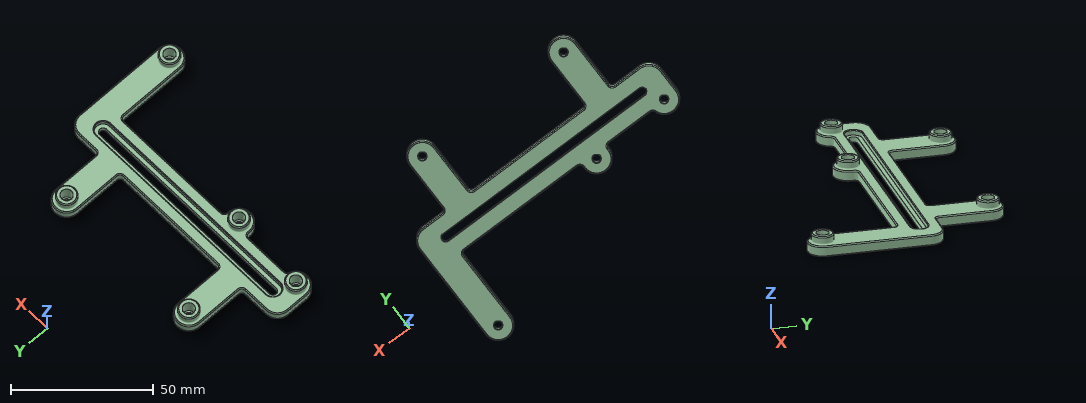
import cadquery as cq
import math

length = 106.7
plate_thickness = 4.1
plate_edge_chamfer = 0.4
arm_width = 11.0
arm_radius = arm_width / 2
inner_corner_radius = 1.5

bar_bottom = 34.4
bar_width = 15.0
bar_top = bar_bottom + bar_width
bar_middle = bar_bottom + bar_width / 2

slot_length = 89.9
slot_width = 3.2
groove_width = 6.4
groove_length = slot_length - slot_width + groove_width
groove_depth = 2.0
groove_edge_chamfer = 0.3

total_height = 7.0
boss_diameter = 8.0
boss_top_chamfer = 0.4
boss_foot_fillet = 0.4
screw_hole_diameter = 3.2
bore_diameter = 4.6
bore_depth = 6.0

upper_arms = [(23.4, 69.9), (85.6, 70.1)]
lower_arms = [
    (arm_radius, 35.0),
    (37.3, 32.3),
    (length - arm_radius, arm_radius),
]
boss_centers = upper_arms + lower_arms


def make_arm(x, y):
    """Arm from the far edge of the bar to a round end at (x, y)."""
    start = bar_bottom if y > bar_middle else bar_top
    shank = (
        cq.Workplane("XY")
        .center(x, (start + y) / 2)
        .rect(arm_width, abs(start - y))
        .extrude(plate_thickness)
    )
    round_end = cq.Workplane("XY").center(x, y).circle(arm_radius).extrude(plate_thickness)
    return shank.union(round_end)


def round_upright_edge(body, x, y, radius):
    """Fillet the upright edge of the plate that stands nearest to (x, y)."""
    point = (x, y, plate_thickness / 2)
    return body.edges("|Z").edges(cq.NearestToPointSelector(point)).fillet(radius)


def make_plate():
    plate = (
        cq.Workplane("XY")
        .center(length / 2, bar_middle)
        .rect(length - arm_width, bar_width)
        .extrude(plate_thickness)
    )
    for x, y in boss_centers:
        plate = plate.union(make_arm(x, y))

    for x in (0, length):
        plate = round_upright_edge(plate, x, bar_top, arm_radius)

    for arms, bar_edge in ((upper_arms, bar_top), (lower_arms, bar_bottom)):
        for x, _ in arms:
            for side_x in (x - arm_radius, x + arm_radius):
                if 0 < side_x < length:
                    plate = round_upright_edge(plate, side_x, bar_edge, inner_corner_radius)

    return plate.faces("<Z or >Z").edges().chamfer(plate_edge_chamfer)


def cut_slot(body):
    """Through slot on the floor of a wider groove with a chamfered rim."""
    top = cq.Workplane("XY", origin=(length / 2, bar_middle, plate_thickness))
    slot = top.slot2D(slot_length, slot_width).extrude(-plate_thickness)
    groove = top.slot2D(groove_length, groove_width).extrude(-groove_depth)
    rim_growth = 2 * groove_edge_chamfer
    rim = top.slot2D(groove_length + rim_growth, groove_width + rim_growth).extrude(
        -groove_edge_chamfer, taper=45
    )
    return body.cut(slot).cut(groove).cut(rim)


def add_bosses(body):
    """Bosses with a chamfered top and a concave fillet at the foot."""
    radius = boss_diameter / 2
    foot_radius = radius + boss_foot_fillet
    foot_top = plate_thickness + boss_foot_fillet
    arc_offset = boss_foot_fillet * (1 - math.sqrt(0.5))
    boss = (
        cq.Workplane("XZ")
        .moveTo(0, plate_thickness)
        .lineTo(foot_radius, plate_thickness)
        .threePointArc((radius + arc_offset, plate_thickness + arc_offset), (radius, foot_top))
        .lineTo(radius, total_height - boss_top_chamfer)
        .lineTo(radius - boss_top_chamfer, total_height)
        .lineTo(0, total_height)
        .close()
        .revolve(360, (0, 0), (0, 1))
    )
    for x, y in boss_centers:
        body = body.union(boss.translate((x, y, 0)))
    return body


def drill_bosses(body):
    """Screw hole through each boss, widened from the top down to bore_depth."""
    return (
        body.faces(">Z")
        .workplane(origin=(0, 0, total_height))
        .pushPoints(boss_centers)
        .cboreHole(screw_hole_diameter, bore_diameter, bore_depth)
    )


plate = make_plate()
slotted_plate = cut_slot(plate)
result = drill_bosses(add_bosses(slotted_plate)).solids()